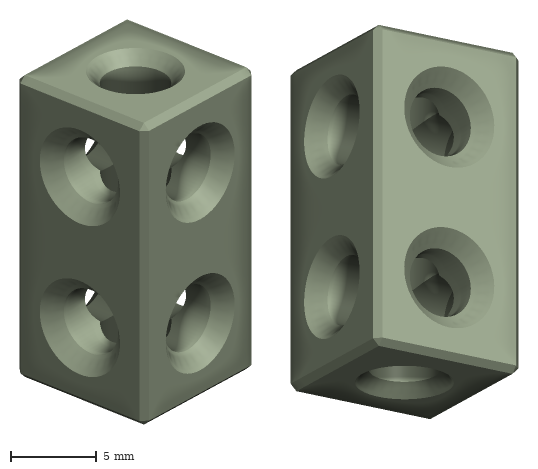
import cadquery as cq

cube_side = 10.0
cube_count = 2
height = cube_count * cube_side
edge_chamfer = 0.4

hole_diameter = 4.2
side_sink_diameter = 6.2
end_sink_diameter = 5.8


def sunk_hole(length, sink_diameter):
    """Cutter along Z, centred on the origin, with a 45 degree countersink at each end."""
    hole_radius = hole_diameter / 2
    sink_radius = sink_diameter / 2
    sink_depth = sink_radius - hole_radius
    half_length = length / 2
    profile = [
        (0, -half_length),
        (sink_radius, -half_length),
        (hole_radius, -half_length + sink_depth),
        (hole_radius, half_length - sink_depth),
        (sink_radius, half_length),
        (0, half_length),
    ]
    return cq.Workplane("XZ").polyline(profile).close().revolve(360, (0, 0), (0, 1))


result = cq.Workplane("XY").box(cube_side, cube_side, height).edges().chamfer(edge_chamfer)

result = result.cut(sunk_hole(height, end_sink_diameter))

side_hole = sunk_hole(cube_side, side_sink_diameter)
along_y = side_hole.rotate((0, 0, 0), (1, 0, 0), 90)
along_x = side_hole.rotate((0, 0, 0), (0, 1, 0), 90)
for level in range(cube_count):
    cube_centre = (0, 0, (level + 0.5) * cube_side - height / 2)
    result = result.cut(along_y.translate(cube_centre))
    result = result.cut(along_x.translate(cube_centre))